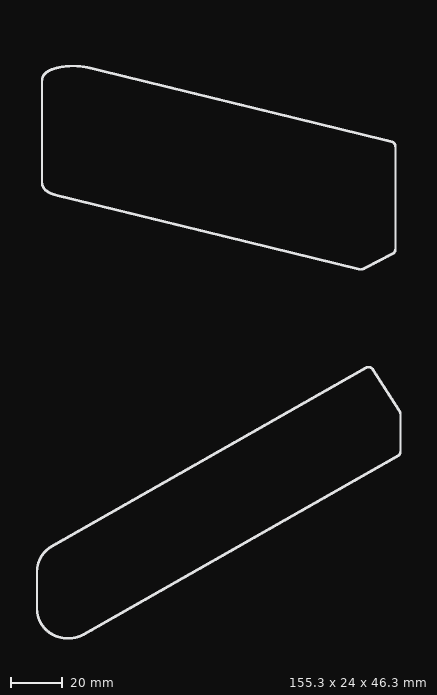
import cadquery as cq

length = 155.3
width = 24.0
height = 46.3
edge_radius = 2.0

nose_radius = width / 2
nose_center_x = nose_radius - length / 2

outline = (
    cq.Workplane("XY")
    .moveTo(nose_center_x, -width / 2)
    .lineTo(length / 2, -width / 2)
    .lineTo(length / 2, width / 2)
    .lineTo(nose_center_x, width / 2)
    .threePointArc((-length / 2, 0), (nose_center_x, -width / 2))
    .close()
)
bar = outline.extrude(height / 2, both=True)

result = bar.edges("|Z and >X or #Z").fillet(edge_radius)